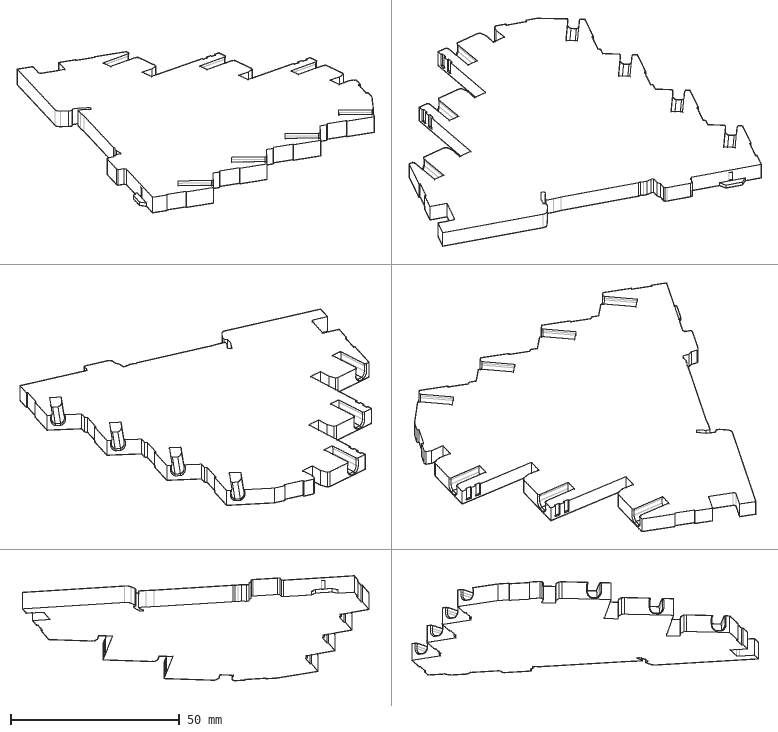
import cadquery as cq
import math

LENGTH = 100
HEIGHT = 91
THICKNESS = 5.1
TIER_TILT = 20
TILT_TAN = math.tan(math.radians(TIER_TILT))
TILT_SIN = math.sin(math.radians(TIER_TILT))
TILT_COS = math.cos(math.radians(TIER_TILT))

LEFT_TIERS = [(15.4, 33.8), (27.8, 59.7), (40.8, 83.7)]
SLOT_WIDTH = 4.1
SHOULDER = (-1.1, 3.5)
CREST_END = (-2.5, 5.3)
CREST = (-3.3, 5.3)
TIER_TOP_LENGTH = 14.7

RIGHT_TIER_COUNT = 4
RIGHT_STEP = (10, -20.9)
LAST_TIP = (LENGTH, 23.8)
RECESS_DEPTH = 0.4
RECESS_TOP = 8.7
RECESS_BOTTOM = 14.8
TOE_DROP = 15.3
TOE_OUT = 0.3

CROWN_LEFT = 43.2
CROWN_RIGHT = 56.5
CROWN_CHAMFER = 0.5
CROWN_NECK = 88.8
CROWN_RECESS = (46.9, 53.1)
CROWN_RECESS_DEPTH = 0.6

FOOT_TOP = 5
FOOT_SLOT_TOP = 13.2
FOOT_SLOT_DEPTH = 5.3
FOOT_SLOT_RADIUS = 0.8
LEFT_RECESS = (18.6, 24.6)

RAIL_SEAT = 6.4
RAIL_LEFT = 33.9
RAIL_LIP_LEVEL = 6.2
RAIL_LIP_X = (36.2, 38.5)
RAIL_NICK = [(64.1, RAIL_SEAT), (63.2, 6.6), (62.6, RAIL_SEAT)]
LATCH_RIGHT = 77.9
LATCH_BOTTOM = 1.7
RIGHT_BOTTOM = 4.4
CORNER_CHAMFER = 0.5
LATCH_BOTTOM_X = (69.9, 77.3)
LATCH_CORNER_RISE = 0.2
LATCH_SLOPE = [(69.4, 1.8), (69, 2.2), (68.7, 4), (67.8, 5), (67.4, 6.9), (66.6, 6.9), (65.2, RAIL_SEAT)]

SLIT_MOUTH = (RAIL_LEFT, 7.5)
SLIT_END_RIGHT = (34.6, 9.4)
SLIT_END_MIDDLE = (34.2, 10.3)
SLIT_END_LEFT = (33.4, 9.8)
NOSE_SIDE = [(32.6, 7.2), (32.6, 5), (33.5, 4.5), (33.5, 3.4), (32.7, 1.2)]
NOSE_ROUND_MIDDLE = (32.1, 0.3)
NOSE_ROUND_END = (31, 0)

GROOVE_RADIUS = 1.9
GROOVE_WALL_TOP = 4.2
LEFT_WALL_BOTTOM = 2.4
RIGHT_WALL_BOTTOM = 3.5
GROOVE_FLOOR_WIDTH = 1.6
GROOVE_LENGTH = 10.5
LEFT_GROOVE_FROM_CREST = 9.6
RIGHT_GROOVE_FROM_TIP = 3.3
LEAD_IN_LENGTH = 0.6
LEAD_IN_FLARE = 0.3

NOTCH_STARTS = (1.6, 4.8)
NOTCH_LENGTH = 1.6
NOTCH_DEPTH = 0.5
NOTCH_BOTTOM = 0.9

LUG_TOP_X = (87, 95)
LUG_BOTTOM_X = (88.5, 93.6)
LUG_BOTTOM = 2.7
LUG_THICKNESS = 1.1

POCKET_X = (90, 91)
POCKET_Z = (1.4, 4.2)
POCKET_DEPTH = 0.1


def shifted(point, offset):
    return (point[0] + offset[0], point[1] + offset[1])


def slot_inner_corner(corner):
    return shifted(corner, (SLOT_WIDTH * TILT_COS, SLOT_WIDTH * TILT_SIN))


def left_tip(corner):
    crest = shifted(corner, CREST)
    return shifted(crest, (-TIER_TOP_LENGTH * TILT_COS, -TIER_TOP_LENGTH * TILT_SIN))


def right_tips():
    """Outer tips of the right tiers, from top to bottom."""
    tips = []
    for steps_up in reversed(range(RIGHT_TIER_COUNT)):
        tips.append((LAST_TIP[0] - steps_up * RIGHT_STEP[0], LAST_TIP[1] - steps_up * RIGHT_STEP[1]))
    return tips


def left_side_points():
    """Left edge and staircase, from above the foot slot up to the slot beside the crown."""
    recess_low, recess_high = LEFT_RECESS
    points = [
        (0, recess_low),
        (RECESS_DEPTH, recess_low),
        (RECESS_DEPTH, recess_high),
        (0, recess_high),
    ]
    for index, corner in enumerate(LEFT_TIERS):
        crest = shifted(corner, CREST)
        if index == 0:
            points.append((0, crest[1] - crest[0] * TILT_TAN))
        else:
            points.append(left_tip(corner))
        points += [crest, shifted(corner, CREST_END), shifted(corner, SHOULDER)]
        points += [corner, slot_inner_corner(corner)]
    return points


def crown_points():
    recess_left, recess_right = CROWN_RECESS
    recess_floor = HEIGHT - CROWN_RECESS_DEPTH
    return [
        (CROWN_LEFT, CROWN_NECK),
        (CROWN_LEFT, HEIGHT - CROWN_CHAMFER),
        (CROWN_LEFT + CROWN_CHAMFER, HEIGHT),
        (recess_left, HEIGHT),
        (recess_left, recess_floor),
        (recess_right, recess_floor),
        (recess_right, HEIGHT),
        (CROWN_RIGHT, HEIGHT),
    ]


def right_side_points():
    """Right staircase, from the crown down to the lower right corner."""
    points = []
    for tip_x, tip_y in right_tips():
        recess_x = tip_x - RECESS_DEPTH
        points += [
            (tip_x, tip_y),
            (tip_x, tip_y - RECESS_TOP),
            (recess_x, tip_y - RECESS_TOP),
            (recess_x, tip_y - RECESS_BOTTOM),
        ]
        if tip_x < LENGTH:
            toe_x = tip_x + TOE_OUT
            next_tip = shifted((tip_x, tip_y), RIGHT_STEP)
            points.append((toe_x, tip_y - TOE_DROP))
            points.append((toe_x, next_tip[1] + (next_tip[0] - toe_x) * TILT_TAN))
        else:
            points.append((tip_x, tip_y - RECESS_BOTTOM))
    points.append((LENGTH, RIGHT_BOTTOM))
    return points


def latch_points():
    """Lower edge from the right end to the rail seat, round the fixed latch."""
    bottom_left, bottom_right = LATCH_BOTTOM_X
    lip_end, lip_start = RAIL_LIP_X
    points = [
        (LATCH_RIGHT + CORNER_CHAMFER, RIGHT_BOTTOM),
        (LATCH_RIGHT, RIGHT_BOTTOM - CORNER_CHAMFER),
        (LATCH_RIGHT, LATCH_BOTTOM + LATCH_CORNER_RISE),
        (bottom_right, LATCH_BOTTOM),
        (bottom_left, LATCH_BOTTOM),
    ]
    points += LATCH_SLOPE + RAIL_NICK
    points += [(lip_start, RAIL_SEAT), (lip_end, RAIL_LIP_LEVEL), (RAIL_LEFT, RAIL_LIP_LEVEL)]
    return points


def plate():
    outline = cq.Workplane("XY").moveTo(0, FOOT_SLOT_TOP)
    upper_points = left_side_points() + crown_points() + right_side_points()
    for point in upper_points + latch_points():
        outline = outline.lineTo(*point)
    outline = (
        outline.lineTo(*SLIT_MOUTH)
        .lineTo(*SLIT_END_RIGHT)
        .threePointArc(SLIT_END_MIDDLE, SLIT_END_LEFT)
    )
    for point in NOSE_SIDE:
        outline = outline.lineTo(*point)
    outline = outline.threePointArc(NOSE_ROUND_MIDDLE, NOSE_ROUND_END)
    slot_round_start = FOOT_SLOT_DEPTH - FOOT_SLOT_RADIUS
    outline = (
        outline.lineTo(0, 0)
        .lineTo(0, FOOT_TOP)
        .lineTo(slot_round_start, FOOT_TOP)
        .radiusArc((FOOT_SLOT_DEPTH, FOOT_TOP + FOOT_SLOT_RADIUS), -FOOT_SLOT_RADIUS)
        .lineTo(FOOT_SLOT_DEPTH, FOOT_SLOT_TOP)
        .close()
    )
    return outline.extrude(THICKNESS)


def groove_section(plane_y, radius, wall_bottom):
    """Closed groove section across Y, cut off level with the top face of the plate."""
    half_floor = GROOVE_FLOOR_WIDTH / 2
    floor = wall_bottom - math.sqrt(radius**2 - half_floor**2)
    half_lip = math.sqrt(radius**2 - (THICKNESS - GROOVE_WALL_TOP) ** 2)
    return (
        cq.Workplane("XZ", origin=(0, plane_y, 0))
        .moveTo(-half_lip, THICKNESS)
        .radiusArc((-radius, GROOVE_WALL_TOP), -radius)
        .lineTo(-radius, wall_bottom)
        .radiusArc((-half_floor, floor), -radius)
        .lineTo(half_floor, floor)
        .radiusArc((radius, wall_bottom), -radius)
        .lineTo(radius, GROOVE_WALL_TOP)
        .radiusArc((half_lip, THICKNESS), -radius)
        .close()
    )


def groove_cutter(wall_bottom):
    """Groove running along -Y from the origin, flared at its mouth."""
    groove = groove_section(0, GROOVE_RADIUS, wall_bottom).extrude(GROOVE_LENGTH)
    mouth = groove_section(0, GROOVE_RADIUS + LEAD_IN_FLARE, wall_bottom).val()
    throat = groove_section(-LEAD_IN_LENGTH, GROOVE_RADIUS, wall_bottom).val()
    lead_in = cq.Workplane(cq.Solid.makeLoft([mouth, throat], True))
    return groove.union(lead_in)


def cut_grooves(body):
    left_cutter = groove_cutter(LEFT_WALL_BOTTOM).rotate((0, 0, 0), (0, 0, 1), TIER_TILT)
    right_cutter = groove_cutter(RIGHT_WALL_BOTTOM).rotate((0, 0, 0), (0, 0, 1), -TIER_TILT)
    for corner in LEFT_TIERS:
        mouth = shifted(
            shifted(corner, CREST),
            (-LEFT_GROOVE_FROM_CREST * TILT_COS, -LEFT_GROOVE_FROM_CREST * TILT_SIN),
        )
        body = body.cut(left_cutter.translate((*mouth, 0)))
    for tip in right_tips():
        mouth = shifted(tip, (-RIGHT_GROOVE_FROM_TIP * TILT_COS, RIGHT_GROOVE_FROM_TIP * TILT_SIN))
        body = body.cut(right_cutter.translate((*mouth, 0)))
    return body


def cut_grip_notches(body):
    for lower, upper in zip(LEFT_TIERS, LEFT_TIERS[1:]):
        tip = left_tip(upper)
        wall_foot = slot_inner_corner(lower)
        wall_tilt = math.degrees(math.atan2(wall_foot[0] - tip[0], tip[1] - wall_foot[1]))
        for start in NOTCH_STARTS:
            notch = (
                cq.Workplane("XY")
                .box(2 * NOTCH_DEPTH, NOTCH_LENGTH, THICKNESS, centered=(True, False, False))
                .translate((0, -start - NOTCH_LENGTH, NOTCH_BOTTOM))
                .rotate((0, 0, 0), (0, 0, 1), wall_tilt)
                .translate((*tip, 0))
            )
            body = body.cut(notch)
    return body


def lug():
    top_left, top_right = LUG_TOP_X
    bottom_left, bottom_right = LUG_BOTTOM_X
    outline = [
        (top_left, RIGHT_BOTTOM),
        (bottom_left, LUG_BOTTOM),
        (bottom_right, LUG_BOTTOM),
        (top_right, RIGHT_BOTTOM),
    ]
    return cq.Workplane("XY").polyline(outline).close().extrude(LUG_THICKNESS)


def edge_pocket():
    shallow_end, deep_end = POCKET_X
    bottom, top = POCKET_Z
    outline = [(shallow_end, RIGHT_BOTTOM), (deep_end, RIGHT_BOTTOM), (deep_end, RIGHT_BOTTOM + POCKET_DEPTH)]
    return cq.Workplane("XY", origin=(0, 0, bottom)).polyline(outline).close().extrude(top - bottom)


result = cut_grip_notches(cut_grooves(plate())).union(lug()).cut(edge_pocket())